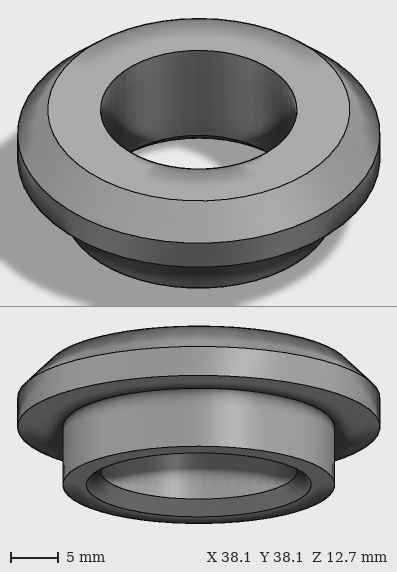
import cadquery as cq

flange_diameter = 38.1
flange_thickness = 6.35
edge_chamfer = flange_thickness / 2
spigot_diameter = 28.575
spigot_length = 6.35
bore_diameter = 20.6375
bore_chamfer = 1.5


def make_flange():
    """Disc on top of the spigot, with a 45 degree bevel around its upper rim."""
    flange = cq.Workplane("XY").workplane(offset=spigot_length)
    flange = flange.circle(flange_diameter / 2).extrude(flange_thickness)
    return flange.faces(">Z").edges().chamfer(edge_chamfer)


def make_spigot():
    """Narrower cylinder below the flange."""
    return cq.Workplane("XY").circle(spigot_diameter / 2).extrude(spigot_length)


def make_bore():
    """Through bore along the full height, opened by a 45 degree chamfer at its lower end."""
    bore_radius = bore_diameter / 2
    bore = cq.Workplane("XY").circle(bore_radius).extrude(spigot_length + flange_thickness)
    lower_cone = cq.Solid.makeCone(bore_radius + bore_chamfer, bore_radius, bore_chamfer)
    return bore.union(cq.Workplane(lower_cone))


result = make_flange().union(make_spigot()).cut(make_bore())